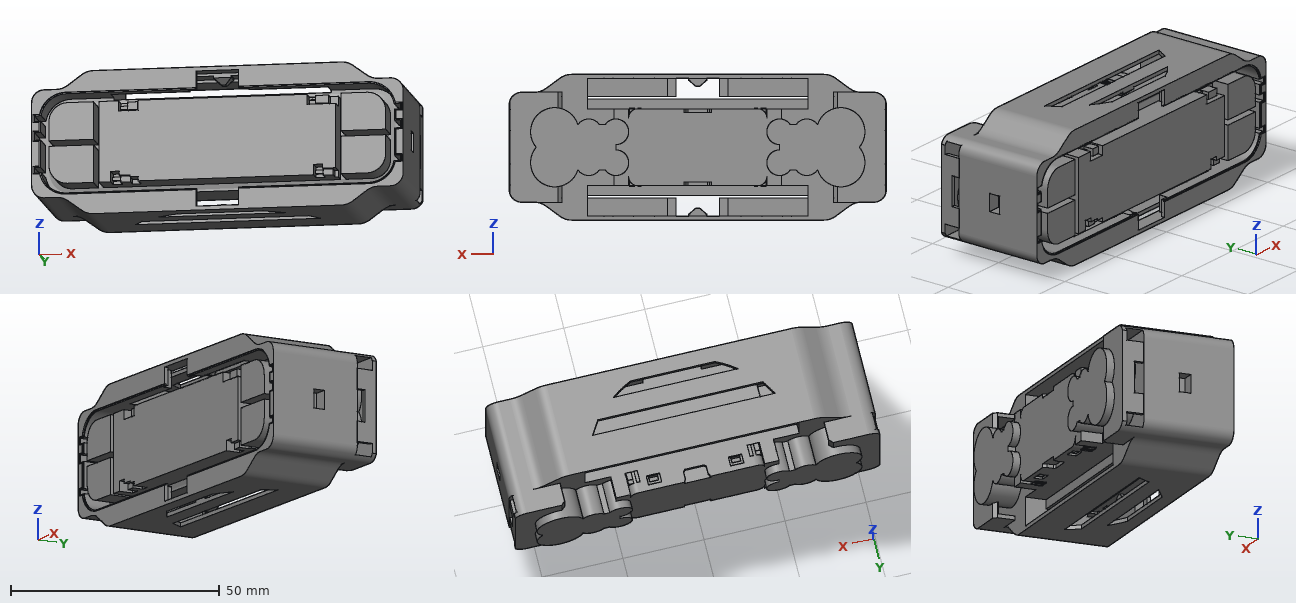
import cadquery as cq

LENGTH = 90.5
HEIGHT = 35.0
SHELL_DEPTH = 23.5
END_HEIGHT = 26.4
END_RADIUS = 3.1
RAMP_OUTER_X = 37.65
RAMP_INNER_X = 31.8
RAMP_RADIUS = 4.8
WALL = 1.0
FRONT_WALL = 0.9

BRACKET_REAR = 29.05
PORT_REAR = 31.0

RIM_X, RIM_Z, RIM_R = 43.4, 12.44, 6.6
RIM_DEPTH = 0.4
BORE_X, BORE_Z, BORE_R = 43.1, 12.1, 6.2
BORE_DEPTH = 7.2
LIP_START_X = 7.2
LIP_DEPTH = 3.2
SLIT_X, SLIT_Z = 26.4, 11.6
INSERT_REAR = 18.1

PANEL_X, PANEL_Z, PANEL_R = 41.0, 9.9, 4.5
FOOT_X, FOOT_Z, FOOT_R = 42.2, 11.09, 5.6
FOOT_HEIGHT = 0.4
DIVIDER_DEPTH = BORE_DEPTH - FOOT_HEIGHT
DIVIDER = 1.4
DIVIDER_X = 29.5

KEY_TIP_X = 44.6
KEY_RIM = 0.3
KEYS = [(5.6, 7.0), (1.0, 2.9), (-7.0, -5.7)]


def box(x0, x1, y0, y1, z0, z1):
    return cq.Workplane("XY").box(x1 - x0, y1 - y0, z1 - z0, centered=False).translate((x0, y0, z0))


def prism(points, y0, y1):
    """Closed outline in X-Z extruded from y0 to y1."""
    return cq.Workplane("XZ", origin=(0, y0, 0)).polyline(points).close().extrude(y0 - y1)


def rounded_prism(half_x, half_z, radius, y0, y1):
    return (
        cq.Workplane("XZ", origin=(0, y0, 0))
        .rect(2 * half_x, 2 * half_z)
        .extrude(y0 - y1)
        .edges("|Y")
        .fillet(radius)
    )


def both_faces(solid):
    """The solid together with its mirror image below Z = 0."""
    return solid.union(solid.mirror("XY"))


def both_ends(solid):
    """The solid together with its mirror image across X = 0."""
    return solid.union(solid.mirror("YZ"))


def key_slots(margin, depth):
    tip = KEY_TIP_X + margin
    slots = cq.Workplane()
    for low, high in KEYS:
        slots = slots.add(box(-tip, tip, 0, depth, low - margin, high + margin))
    return slots.combine()


def shell_body():
    top, end = HEIGHT / 2, END_HEIGHT / 2
    hump = prism(
        [
            (-LENGTH / 2, -end), (-RAMP_OUTER_X, -end), (-RAMP_INNER_X, -top), (RAMP_INNER_X, -top),
            (RAMP_OUTER_X, -end), (LENGTH / 2, -end), (LENGTH / 2, end), (RAMP_OUTER_X, end),
            (RAMP_INNER_X, top), (-RAMP_INNER_X, top), (-RAMP_OUTER_X, end), (-LENGTH / 2, end),
        ],
        0, SHELL_DEPTH,
    )
    ramp_ends = cq.selectors.BoxSelector((-40.7, -0.9, -27.15), (40.7, SHELL_DEPTH + 0.9, 27.15))
    ends = cq.selectors.SubtractSelector(cq.selectors.StringSyntaxSelector("|Y"), ramp_ends)
    return hump.edges("|Y").edges(ramp_ends).fillet(RAMP_RADIUS).edges(ends).fillet(END_RADIUS)


ROOF = HEIGHT / 2 - WALL
NOTCH_X = 5.2


def front_opening():
    rim = rounded_prism(RIM_X, RIM_Z, RIM_R, 0, RIM_DEPTH).union(key_slots(KEY_RIM, RIM_DEPTH))
    bore = rounded_prism(BORE_X, BORE_Z, BORE_R, 0, BORE_DEPTH).union(key_slots(0, BORE_DEPTH))
    notch = box(-NOTCH_X, NOTCH_X, 0, FRONT_WALL, -ROOF, ROOF)
    return rim.union(bore).union(notch)


def roof_space():
    """Hollow under the roof, open to the rear and stepping down behind the insert."""
    middle = box(-LIP_START_X, LIP_START_X, FRONT_WALL, SHELL_DEPTH, SLIT_Z, ROOF)
    wide = box(-SLIT_X, SLIT_X, LIP_DEPTH, SHELL_DEPTH, SLIT_Z, ROOF)
    rear = box(-SLIT_X, SLIT_X, INSERT_REAR, SHELL_DEPTH, FLANGE_Z, ROOF)
    return both_faces(middle.union(wide).union(rear))


LONG_SLOT_Y = (11.5, 15.0)
LONG_SLOT_X = (20.4, 22.5)
SHORT_SLOT_Y = (3.8, 6.9)
SHORT_SLOT_X = (10.4, 15.4)
SHORT_SLOT_MID = (13.2, 5.3)
SIDE_WINDOW_Y = (11.3, 14.3)
SIDE_WINDOW_Z = 2.35
SIDE_WINDOW_DEPTH = 3.6


def roof_slots():
    plane = cq.Workplane("XY", origin=(0, 0, ROOF))
    (x0, x1), (y0, y1) = LONG_SLOT_X, LONG_SLOT_Y
    long_slot = plane.polyline([(-x0, y0), (x0, y0), (x1, y1), (-x1, y1)]).close().extrude(WALL)
    (x0, x1), (y0, y1) = SHORT_SLOT_X, SHORT_SLOT_Y
    mid_x, mid_y = SHORT_SLOT_MID
    short_slot = (
        plane.moveTo(-x0, y0)
        .lineTo(x0, y0)
        .threePointArc((mid_x, mid_y), (x1, y1))
        .lineTo(-x1, y1)
        .threePointArc((-mid_x, mid_y), (-x0, y0))
        .close()
        .extrude(WALL)
    )
    return both_faces(long_slot.union(short_slot))


def side_windows():
    outer = LENGTH / 2
    return both_ends(
        box(-outer, SIDE_WINDOW_DEPTH - outer, *SIDE_WINDOW_Y, -SIDE_WINDOW_Z, SIDE_WINDOW_Z)
    )


LATCH_HALF = 2.2
LATCH_TIP_HALF = 0.45
LATCH_BAND = 0.45
LATCH_TIP_Z = 14.6
LATCH_RAMP = 1.8
LATCH_LENGTH = 3.6


def latches():
    """Tapered hooks hanging from the roof behind the short slots."""
    y0 = SHORT_SLOT_Y[1]
    band_z = ROOF - LATCH_BAND
    taper = prism(
        [
            (-LATCH_HALF, ROOF), (LATCH_HALF, ROOF), (LATCH_HALF, band_z),
            (LATCH_TIP_HALF, LATCH_TIP_Z), (-LATCH_TIP_HALF, LATCH_TIP_Z), (-LATCH_HALF, band_z),
        ],
        y0, y0 + LATCH_LENGTH,
    )
    ramp = (
        cq.Workplane("YZ", origin=(-LATCH_HALF, 0, 0))
        .polyline(
            [
                (y0, ROOF), (y0, band_z), (y0 + LATCH_RAMP, LATCH_TIP_Z),
                (y0 + LATCH_LENGTH, LATCH_TIP_Z), (y0 + LATCH_LENGTH, ROOF),
            ]
        )
        .close()
        .extrude(2 * LATCH_HALF)
    )
    return both_faces(taper.intersect(ramp))


INSERT_POCKET = (-23.5, -19.4, 10.0, 14.1)
INSERT_POCKET_DEPTH = 1.8


def insert_pocket():
    return box(*INSERT_POCKET, SLIT_Z - INSERT_POCKET_DEPTH, SLIT_Z)


def panel_foot():
    """Rim around the panels whose face falls away outwards to the bore floor."""
    top = rounded_prism(PANEL_X, PANEL_Z, PANEL_R, DIVIDER_DEPTH, BORE_DEPTH)
    base = rounded_prism(FOOT_X, FOOT_Z, FOOT_R, BORE_DEPTH, BORE_DEPTH + FOOT_HEIGHT)
    outlines = [solid.faces("<Y").wires().val() for solid in (top, base)]
    return cq.Workplane(obj=cq.Solid.makeLoft(outlines, True))


def panels():
    block = rounded_prism(PANEL_X, PANEL_Z, PANEL_R, 0, BORE_DEPTH)
    half = DIVIDER / 2
    inner_edge, outer_edge = DIVIDER_X - half, DIVIDER_X + half
    upright = both_ends(box(inner_edge, outer_edge, 0, DIVIDER_DEPTH, -PANEL_Z, PANEL_Z))
    level = both_ends(box(outer_edge, PANEL_X, 0, DIVIDER_DEPTH, -half, half))
    return block.cut(upright).cut(level)


PANEL_EDGE_X = DIVIDER_X - DIVIDER / 2
PANEL_POCKETS = [
    (-24.1, -19.3, 7.4),
    (21.8, PANEL_EDGE_X, 7.4),
    (-26.0, -23.9, -7.3),
    (-23.9, -21.3, -8.3),
    (-21.3, -19.3, -8.8),
    (23.4, 25.6, -7.3),
    (25.6, PANEL_EDGE_X, -8.3),
]
CATCHES = [
    (-22.0, -19.6, 7.8, 9.7),
    (23.7, 27.0, 7.8, 9.7),
    (-23.7, -21.3, -9.9, -8.4),
    (25.6, 28.1, -9.9, -8.4),
]
LEDGES = [
    (-24.1, -22.0, 8.2, 9.05),
    (21.8, 23.7, 9.05, 9.6),
    (-26.0, -23.8, -9.05, -8.2),
    (23.4, 25.6, -9.05, -8.2),
]
PANEL_POCKET_DEPTH = 3.6
CATCH_FRONT = 0.9
LEDGE_FRONT = 2.7


def panel_pockets():
    cutter = cq.Workplane()
    for x0, x1, floor in PANEL_POCKETS:
        edge = PANEL_Z if floor > 0 else -PANEL_Z
        cutter = cutter.add(box(x0, x1, 0, PANEL_POCKET_DEPTH, min(floor, edge), max(floor, edge)))
    return cutter.combine()


def catches():
    blocks = cq.Workplane()
    for spans, front in ((CATCHES, CATCH_FRONT), (LEDGES, LEDGE_FRONT)):
        for x0, x1, z0, z1 in spans:
            blocks = blocks.add(box(x0, x1, front, PANEL_POCKET_DEPTH, z0, z1))
    return blocks.combine()


BRACKET_X = 32.6
BRACKET_CORNER = 0.9
BRACKET_PLATE = 1.2
OPENING_Z = (9.005, 12.2)
CHEEK_X = 45.0
CHEEK_SLOT_Z = 4.0
CHEEK_SLOT_REAR = 25.9


def rear_brackets():
    """Hollow continuation of the shell ends: flanges, side cheeks and a rear plate."""
    outline = rounded_prism(LENGTH / 2, END_HEIGHT / 2, END_RADIUS, SHELL_DEPTH, BRACKET_REAR)
    ends = both_ends(box(BRACKET_X, LENGTH / 2, SHELL_DEPTH, BRACKET_REAR, -HEIGHT, HEIGHT))
    ends = ends.edges("|Z").edges(">Y").edges(
        cq.selectors.BoxSelector((-BRACKET_X - 0.9, 0, -45.25), (BRACKET_X + 0.9, 36.2, 45.25))
    ).chamfer(BRACKET_CORNER)
    body = outline.intersect(ends)
    low, high = OPENING_Z
    plate_front = BRACKET_REAR - BRACKET_PLATE
    openings = both_faces(box(-LENGTH / 2, LENGTH / 2, SHELL_DEPTH, plate_front, low, high))
    core_x = CHEEK_X - WALL
    core = box(-core_x, core_x, SHELL_DEPTH, plate_front, -low, low)
    cheek_slot = box(-LENGTH / 2, LENGTH / 2, SHELL_DEPTH, CHEEK_SLOT_REAR, -CHEEK_SLOT_Z, CHEEK_SLOT_Z)
    trim = both_ends(box(CHEEK_X, LENGTH / 2, SHELL_DEPTH, BRACKET_REAR, -high, high))
    return body.cut(openings).cut(core).cut(cheek_slot).cut(trim)


PORT_RADIUS = 5.8
PORT_X = 34.3
PORT_Z = 3.7
STUD_RADIUS = 3.1
STUD_X = (19.6, 26.15)
WEB_Z = 5.4
FLANGE_X, FLANGE_Z, FLANGE_R = 16.6, 9.2, 2.2
WING_X = 20.1
WINDOW_X = (8.5, 11.8)
WINDOW_Y = (25.3, 27.6)
WINDOW_DEPTH = 0.5
HOLE_X = (9.05, 11.2)
HOLE_Y = (25.4, 26.8)
HOLE_DEPTH = 1.8
HOLE_STEP = 0.4
RELIEF_X = 2.8
RELIEF_MOUTH_X = 3.3
RELIEF_Y = 25.9
RELIEF_CORNER = 0.45
RELIEF_DEPTH = 0.9
CLIP_X = (15.1, 16.4)
CLIP_REAR = 26.4
CLIP_STEP_REAR = 25.4
CLIP_STEP = 0.2
PAD_X = (13.6, 14.4)


def ports():
    """Paired large ports and paired studs joined by a web, at each end."""
    plane = cq.Workplane("XZ", origin=(0, SHELL_DEPTH, 0))
    length = PORT_REAR - SHELL_DEPTH
    signs = [(sx, sz) for sx in (-1, 1) for sz in (-1, 1)]
    tubes = plane.pushPoints([(sx * PORT_X, sz * PORT_Z) for sx, sz in signs]).circle(PORT_RADIUS).extrude(-length)
    for stud_x in STUD_X:
        places = [(sx * stud_x, sz * PORT_Z) for sx, sz in signs]
        tubes = tubes.union(plane.pushPoints(places).circle(STUD_RADIUS).extrude(-length))
    web = both_ends(box(STUD_X[0], PORT_X, SHELL_DEPTH, PORT_REAR, -WEB_Z, WEB_Z))
    return tubes.union(web)


def rear_flange():
    flange = rounded_prism(FLANGE_X, FLANGE_Z, FLANGE_R, SHELL_DEPTH, BRACKET_REAR)
    wing = both_ends(box(FLANGE_X, WING_X, SHELL_DEPTH, BRACKET_REAR, -FLANGE_Z, FLANGE_Z))
    flange = flange.union(wing)
    step_z = FLANGE_Z + CLIP_STEP
    for span, rear, z in (
        (CLIP_X, CLIP_REAR, FLANGE_Z),
        (CLIP_X, CLIP_STEP_REAR, step_z),
        (PAD_X, CLIP_REAR, step_z),
    ):
        flange = flange.union(both_ends(box(*span, SHELL_DEPTH, rear, -z, z)))
    window = box(*WINDOW_X, *WINDOW_Y, FLANGE_Z - WINDOW_DEPTH, FLANGE_Z)
    front, rear = HOLE_Y
    hole = (
        cq.Workplane("YZ", origin=(HOLE_X[0], 0, 0))
        .polyline(
            [
                (front, FLANGE_Z - HOLE_DEPTH), (rear, FLANGE_Z - WINDOW_DEPTH - HOLE_STEP),
                (rear, FLANGE_Z), (front, FLANGE_Z),
            ]
        )
        .close()
        .extrude(HOLE_X[1] - HOLE_X[0])
    )
    relief_floor = FLANGE_Z - RELIEF_DEPTH
    relief = box(-RELIEF_X, RELIEF_X, RELIEF_Y, BRACKET_REAR, relief_floor, FLANGE_Z)
    relief = relief.edges("|Z").edges("<Y").chamfer(RELIEF_CORNER)
    flare = RELIEF_MOUTH_X - RELIEF_X
    mouth = (
        cq.Workplane("XY", origin=(0, 0, relief_floor))
        .polyline(
            [
                (-RELIEF_MOUTH_X, BRACKET_REAR), (RELIEF_MOUTH_X, BRACKET_REAR),
                (RELIEF_X, BRACKET_REAR - 2 * flare), (-RELIEF_X, BRACKET_REAR - 2 * flare),
            ]
        )
        .close()
        .extrude(RELIEF_DEPTH)
    )
    cutter = both_ends(window.union(hole)).union(relief).union(mouth)
    return flange.cut(both_faces(cutter))


housing = shell_body().cut(front_opening()).cut(roof_space()).cut(roof_slots()).union(latches())
housing = housing.cut(insert_pocket()).union(panel_foot())
housing = housing.union(panels().cut(panel_pockets()).union(catches())).cut(side_windows())
result = housing.union(rear_brackets()).union(ports()).union(rear_flange())